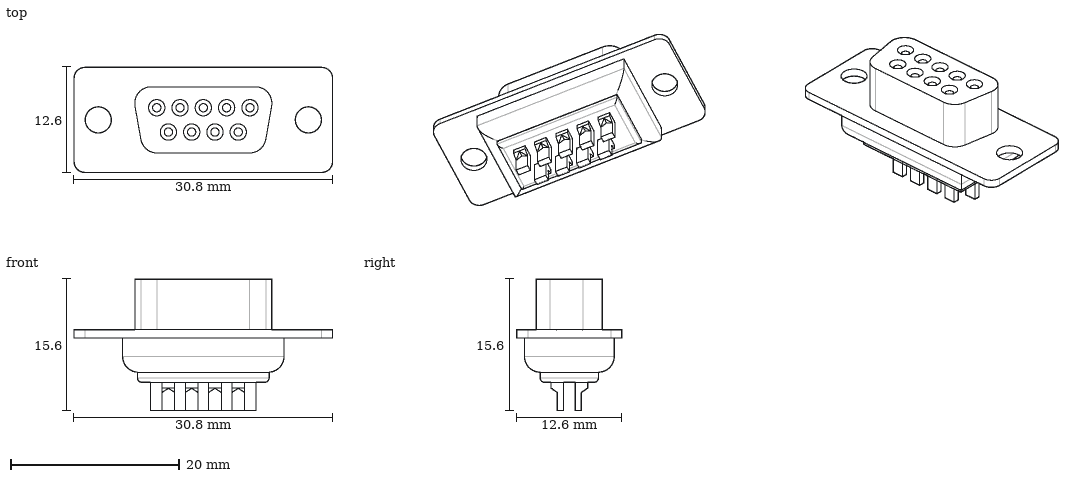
import cadquery as cq
import math


flange_length = 30.8
flange_width = 12.55
flange_thickness = 1.02
flange_corner_radius = 1.32
mount_hole_diameter = 3.08
mount_hole_spacing = 25.02

shell_length = 16.33
shell_width = 7.9
shell_height = 6.0
shell_corner_radius = 1.97
shell_side_angle = math.radians(10)

housing_length = 19.25
housing_width = 10.72
housing_height = 4.07
housing_edge_radius = 1.9
base_length = 15.7
base_width = 6.95
base_height = 1.2
base_edge_radius = 0.55

contact_pitch = 2.77
row_offset = 1.45
contact_rows = [(5, 1), (4, -1)]

socket_mouth_diameter = 1.95
socket_bore_diameter = 1.0
socket_mouth_depth = 0.45
socket_depth = 0.92

tail_size = 1.5
tail_length = 3.35
tail_root_length = 0.68
tail_taper_length = 0.52
tail_gable_drop = 0.03

shell_top = flange_thickness + shell_height
housing_bottom = -housing_height
base_bottom = housing_bottom - base_height
tail_bottom = base_bottom - tail_length


def contact_places():
    """X position and side of every contact."""
    return [
        ((index - (count - 1) / 2) * contact_pitch, side)
        for count, side in contact_rows
        for index in range(count)
    ]


def make_flange():
    plate = (
        cq.Workplane("XY")
        .rect(flange_length, flange_width)
        .extrude(flange_thickness)
        .edges("|Z")
        .fillet(flange_corner_radius)
    )
    return (
        plate.faces(">Z")
        .workplane()
        .pushPoints([(-mount_hole_spacing / 2, 0), (mount_hole_spacing / 2, 0)])
        .hole(mount_hole_diameter)
    )


def make_shell():
    half_width = shell_width / 2
    back_arc_x = shell_length / 2 - shell_corner_radius
    side_run = shell_corner_radius * (1 / math.cos(shell_side_angle) + math.tan(shell_side_angle))
    back_corner_x = back_arc_x + side_run
    front_corner_x = back_corner_x - shell_width * math.tan(shell_side_angle)
    outline = [
        (-back_corner_x, half_width),
        (back_corner_x, half_width),
        (front_corner_x, -half_width),
        (-front_corner_x, -half_width),
    ]
    return (
        cq.Workplane("XY")
        .polyline(outline)
        .close()
        .extrude(shell_top)
        .edges("|Z")
        .fillet(shell_corner_radius)
    )


def make_rounded_block(length, width, top, height, edge_radius):
    """Block hanging down from a level, with its bottom edges rounded."""
    return (
        cq.Workplane("XY", origin=(0, 0, top))
        .rect(length, width)
        .extrude(-height)
        .faces("<Z")
        .edges()
        .fillet(edge_radius)
    )


def make_socket(x, side):
    """Tool for one blind socket with a conical mouth."""
    mouth_radius = socket_mouth_diameter / 2
    bore_radius = socket_bore_diameter / 2
    profile = [
        (0, 0),
        (mouth_radius, 0),
        (bore_radius, -socket_mouth_depth),
        (bore_radius, -socket_depth),
        (0, -socket_depth),
    ]
    socket = cq.Workplane("XZ").polyline(profile).close().revolve(360, (0, 0), (0, 1))
    return socket.translate((x, side * row_offset, shell_top))


def make_tail(x, side):
    """Solder tail, modelled in the back row and mirrored for the front row."""
    half_size = tail_size / 2
    inner_y = row_offset - half_size
    outer_y = row_offset + half_size
    taper_top = base_bottom - tail_root_length
    taper_bottom = taper_top - tail_taper_length
    profile = [
        (inner_y, housing_bottom),
        (outer_y, housing_bottom),
        (outer_y, taper_top),
        (row_offset, taper_bottom),
        (row_offset, tail_bottom),
        (inner_y, tail_bottom),
    ]
    tail = cq.Workplane("YZ").polyline(profile).close().extrude(half_size, both=True)

    gable = [
        (-half_size, taper_bottom),
        (0, taper_top - tail_gable_drop),
        (half_size, taper_bottom),
    ]
    notch = cq.Workplane("XZ", origin=(0, row_offset, 0)).polyline(gable).close().extrude(-half_size)
    tail = tail.cut(notch)
    if side < 0:
        tail = tail.mirror("XZ")
    return tail.translate((x, 0, 0))


result = (
    make_flange()
    .union(make_shell())
    .union(make_rounded_block(housing_length, housing_width, 0, housing_height, housing_edge_radius))
    .union(make_rounded_block(base_length, base_width, housing_bottom, base_height, base_edge_radius))
)
for contact_x, contact_side in contact_places():
    result = result.cut(make_socket(contact_x, contact_side))
    result = result.union(make_tail(contact_x, contact_side))